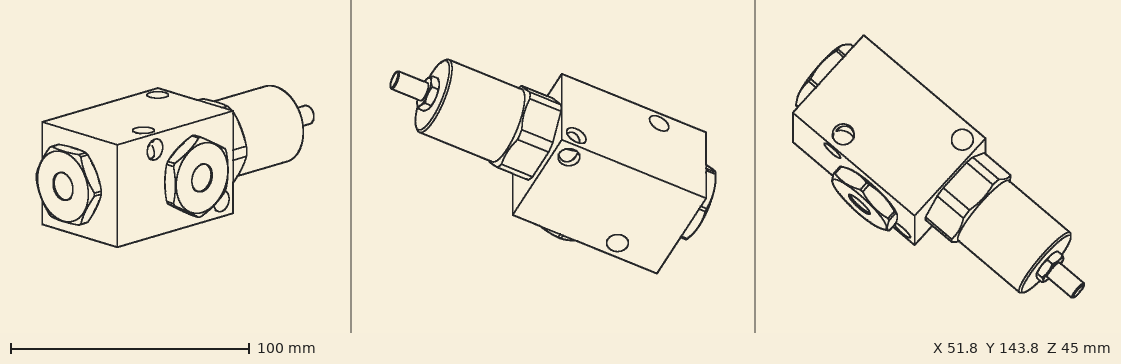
import cadquery as cq
import math

block_width = 45.0
block_height = 45.0
block_length = 68.0
axis_to_left_side = 19.4
block_left = -axis_to_left_side
block_right = block_left + block_width

hole_diameter = 9.0
hole_edge_distance = 6.9
front_hole_y = 22.1
rear_hole_y = block_length - hole_edge_distance

plug_height = 6.8
plug_across_flats = 30.9
plug_corner_diameter = 35.0
plug_face_diameter = 30.3
plug_recess_diameter = 12.0
plug_recess_depth = 0.7
side_plug_y = 43.1

collar_length = 16.0
collar_across_flats = 34.5
collar_corner_diameter = 37.5
barrel_diameter = 33.0
barrel_length = 35.1
barrel_chamfer = 0.9
nut_across_flats = 13.0
nut_height = 3.9
nut_face_diameter = 13.0
rod_diameter = 8.0
rod_chamfer = 0.5
overall_length = 143.8
rod_length = overall_length - plug_height - block_length - collar_length - barrel_length - nut_height

hex_chamfer_angle = math.radians(30)
hex_half_sector = 30


def hexagon_corner_diameter(across_flats):
    return across_flats / math.cos(math.radians(hex_half_sector))


def chamfered_hexagon(across_flats, corner_diameter, face_diameter, height, chamfer_base=True):
    """Hexagonal prism on Z = 0, corners on X, turned to the corner diameter and coned at its ends."""
    prism = cq.Workplane("XY").polygon(6, hexagon_corner_diameter(across_flats)).extrude(height)
    corner_radius = corner_diameter / 2
    face_radius = face_diameter / 2
    chamfer_height = (corner_radius - face_radius) * math.tan(hex_chamfer_angle)
    profile = cq.Workplane("XZ").moveTo(0, 0)
    if chamfer_base:
        profile = profile.lineTo(face_radius, 0).lineTo(corner_radius, chamfer_height)
    else:
        profile = profile.lineTo(corner_radius, 0)
    profile = (
        profile.lineTo(corner_radius, height - chamfer_height)
        .lineTo(face_radius, height)
        .lineTo(0, height)
        .close()
    )
    turned_blank = profile.revolve(360, (0, 0, 0), (0, 1, 0))
    return prism.intersect(turned_blank)


def rear_facing(shape, y):
    """Turn a shape built along +Z to point along +Y, with its base at the given Y."""
    return shape.rotate((0, 0, 0), (1, 0, 0), -90).translate((0, y, 0))


def make_block():
    return cq.Workplane("XY").box(
        block_width, block_length, block_height, centered=(False, False, True)
    ).translate((block_left, 0, 0))


def make_cross_holes():
    """Two vertical holes and two crosswise holes, each pair on opposite edges of its face."""
    hole_z = block_height / 2 - hole_edge_distance
    vertical = (
        cq.Workplane("XY", origin=(0, 0, -block_height / 2))
        .pushPoints([
            (block_left + hole_edge_distance, rear_hole_y),
            (block_right - hole_edge_distance, front_hole_y),
        ])
        .circle(hole_diameter / 2)
        .extrude(block_height)
    )
    crosswise = (
        cq.Workplane("YZ", origin=(block_left, 0, 0))
        .pushPoints([(rear_hole_y, -hole_z), (front_hole_y, hole_z)])
        .circle(hole_diameter / 2)
        .extrude(block_width)
    )
    return vertical.union(crosswise)


def make_plug():
    """Plug standing on Z = 0 with a shallow round recess in its outer face."""
    plug = chamfered_hexagon(plug_across_flats, plug_corner_diameter, plug_face_diameter, plug_height)
    return plug.cut(
        cq.Workplane("XY", origin=(0, 0, plug_height - plug_recess_depth))
        .circle(plug_recess_diameter / 2)
        .extrude(plug_recess_depth)
    )


def make_cartridge():
    """Hexagonal collar, barrel, lock nut and adjusting rod, stacked rearward from the block."""
    collar_y = block_length
    barrel_y = collar_y + collar_length
    nut_y = barrel_y + barrel_length
    rod_y = nut_y + nut_height
    collar = chamfered_hexagon(
        collar_across_flats, collar_corner_diameter, barrel_diameter, collar_length, chamfer_base=False
    )
    barrel = (
        cq.Workplane("XY").circle(barrel_diameter / 2).extrude(barrel_length)
        .faces(">Z").chamfer(barrel_chamfer)
    )
    nut = chamfered_hexagon(
        nut_across_flats, hexagon_corner_diameter(nut_across_flats), nut_face_diameter, nut_height
    ).rotate((0, 0, 0), (0, 0, 1), hex_half_sector)
    rod = (
        cq.Workplane("XY").circle(rod_diameter / 2).extrude(rod_length)
        .faces(">Z").chamfer(rod_chamfer)
    )
    return (
        rear_facing(collar, collar_y)
        .union(rear_facing(barrel, barrel_y))
        .union(rear_facing(nut, nut_y))
        .union(rear_facing(rod, rod_y))
    )


front_plug = make_plug().rotate((0, 0, 0), (1, 0, 0), 90)
side_plug = (
    make_plug()
    .rotate((0, 0, 0), (0, 1, 0), 90)
    .translate((block_right, side_plug_y, 0))
)

result = (
    make_block()
    .cut(make_cross_holes())
    .union(front_plug)
    .union(side_plug)
    .union(make_cartridge())
)